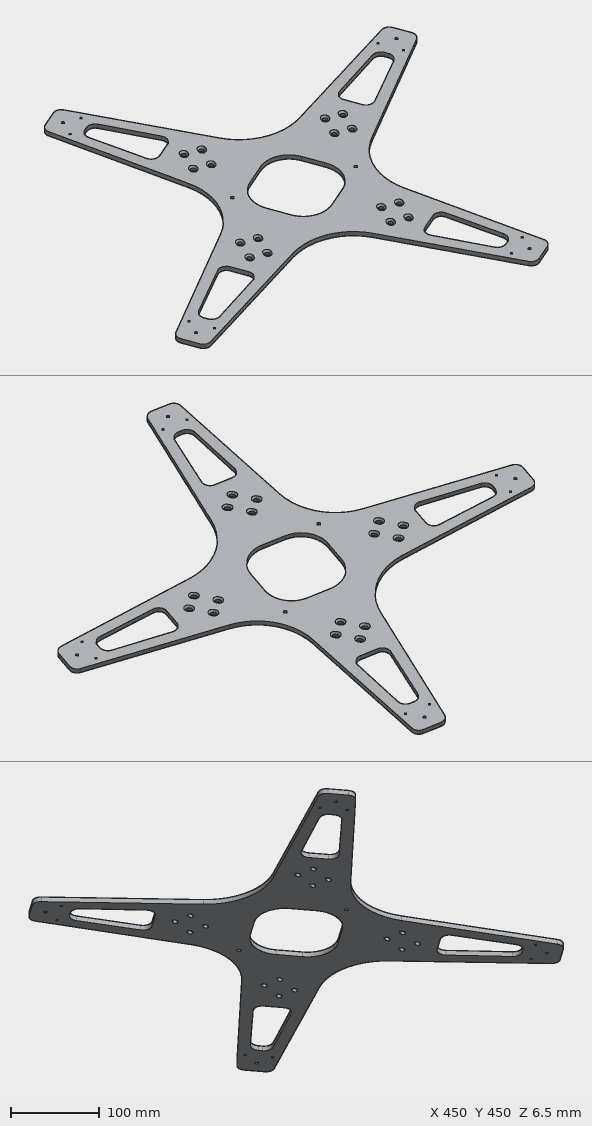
import cadquery as cq
import math

overall_size = 450.0
thickness = 6.5

arm_taper = math.radians(7.2)
side_distance = 58.0
tip_fillet = 10.0
valley_fillet = 79.0

window_taper = math.radians(6.6)
window_side_distance = 41.5
window_inner = 162.5
window_outer = 258.0
window_inner_fillet = 10.5
window_outer_fillet = 11.0

opening_side = 100.5
opening_fillet = 35.0

tip_hole_diameter = 3.3
tip_hole_offset = 202.0
flank_hole_diameter = 2.5
flank_hole_spacing = 22.0
centre_hole_diameter = 4.2
centre_hole_x = -6.8
centre_hole_y = 74.5

slot_width = 5.5
slot_length = 7.5
slot_chamfer = 2.3
chamfer_angle = 45
slot_xs = (71.0, 99.5)
slot_ys = (74.5, 96.5)

QUADRANTS = [(1, 1), (-1, 1), (-1, -1), (1, -1)]
ARM_ANGLES = [45, 135, 225, 315]


def around_z(shape, angle):
    """Shape turned about the plate's centre axis, in degrees."""
    return shape.rotate((0, 0, 0), (0, 0, 1), angle)


def half_width(along, offset, taper):
    """Half width of a tapered shape at a distance along the arm axis.

    The side line lies at the given offset from the plate centre.
    """
    return offset / math.cos(taper) - along * math.tan(taper)


def tip_distance():
    """Distance of the flat arm tip that makes the rounded tip corner reach the overall size."""
    centre_sum = (overall_size / 2 - tip_fillet) * math.sqrt(2)
    side_reach = (side_distance - tip_fillet) / math.cos(arm_taper)
    return (centre_sum - side_reach) / (1 - math.tan(arm_taper)) + tip_fillet


def tapered_prism(start, end, offset, taper):
    """Symmetric trapezoid along +X, extruded through the plate."""
    start_half = half_width(start, offset, taper)
    end_half = half_width(end, offset, taper)
    corners = [(start, -start_half), (end, -end_half), (end, end_half), (start, start_half)]
    return cq.Workplane("XY").polyline(corners).close().extrude(thickness)


def star_plate():
    """Four-armed plate with rounded tips and blended valleys."""
    valley = side_distance / (math.cos(arm_taper) + math.sin(arm_taper))
    arm = tapered_prism(valley, tip_distance(), side_distance, arm_taper)
    arm = arm.edges("|Z and >X").fillet(tip_fillet)
    plate = cq.Workplane("XY").rect(2 * valley, 2 * valley).extrude(thickness)
    for angle in ARM_ANGLES:
        plate = plate.union(around_z(arm, angle - ARM_ANGLES[0]))
    reach = 2 * valley
    valley_box = cq.selectors.BoxSelector((-reach, -reach, 0), (reach, reach, thickness))
    plate = plate.edges("|Z").edges(valley_box).fillet(valley_fillet)
    return around_z(plate, ARM_ANGLES[0])


def arm_window():
    """Tapered window cutter along +X with rounded corners."""
    window = tapered_prism(window_inner, window_outer, window_side_distance, window_taper)
    window = window.edges("|Z and <X").fillet(window_inner_fillet)
    return window.edges("|Z and >X").fillet(window_outer_fillet)


def central_opening():
    """Cutter for the rounded square opening, turned to the arms."""
    square = cq.Workplane("XY").rect(opening_side, opening_side).extrude(thickness)
    return around_z(square.edges("|Z").fillet(opening_fillet), ARM_ANGLES[0])


def in_all_quadrants(points):
    """Mirror first-quadrant points about both axes."""
    return [(sx * x, sy * y) for sx, sy in QUADRANTS for x, y in points]


result = star_plate().cut(central_opening())
for angle in ARM_ANGLES:
    result = result.cut(around_z(arm_window(), angle))

tip_points = in_all_quadrants([(tip_hole_offset, tip_hole_offset)])
flank_inset = tip_hole_offset - flank_hole_spacing
flank_points = in_all_quadrants([(flank_inset, tip_hole_offset), (tip_hole_offset, flank_inset)])
centre_points = [(centre_hole_x, centre_hole_y), (centre_hole_x, -centre_hole_y)]
slot_points = in_all_quadrants([(x, y) for x in slot_xs for y in slot_ys])

for points, diameter in [
    (tip_points, tip_hole_diameter),
    (flank_points, flank_hole_diameter),
    (centre_points, centre_hole_diameter),
]:
    holes = cq.Workplane("XY").pushPoints(points).circle(diameter / 2).extrude(thickness)
    result = result.cut(holes)

slots = cq.Workplane("XY").pushPoints(slot_points).slot2D(slot_length, slot_width).extrude(thickness)
sinks = (
    cq.Workplane("XY", origin=(0, 0, thickness))
    .pushPoints(slot_points)
    .slot2D(slot_length + 2 * slot_chamfer, slot_width + 2 * slot_chamfer)
    .extrude(-slot_chamfer, taper=chamfer_angle)
)
result = result.cut(slots).cut(sinks)